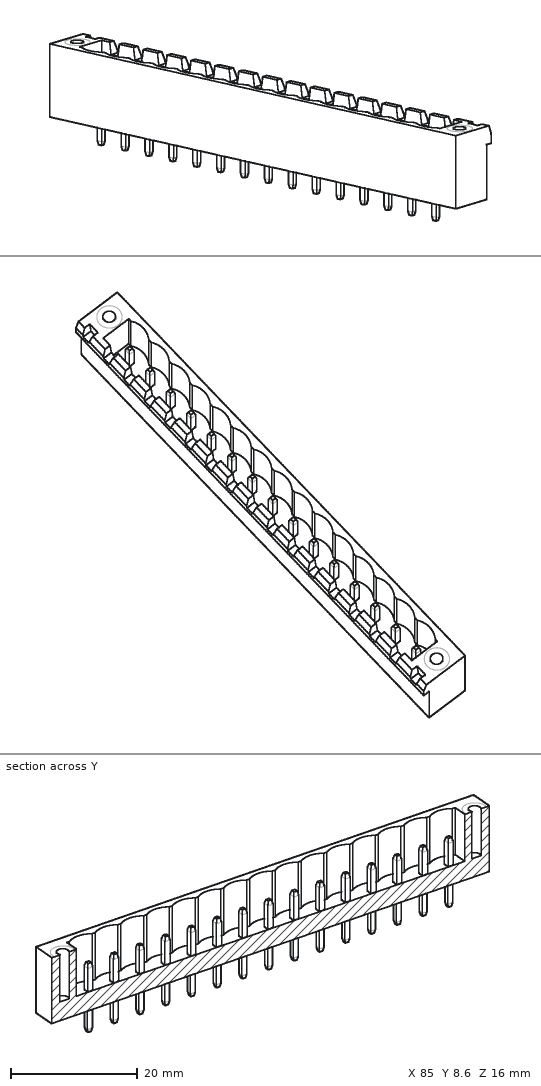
import cadquery as cq

pole_count = 15
pitch = 5.0
pole_positions = [(i - (pole_count - 1) / 2) * pitch for i in range(pole_count)]
end_position = (pole_count + 1) / 2 * pitch

length = (pole_count + 2) * pitch
depth = 7.5
height = 12.0
pin_line = 3.8

lip_overhang = 1.1
lip_height = 3.0
lip_bevel_depth = 0.55
lip_bevel_height = 1.5

cavity_end_x = 37.7
cavity_front_y = 1.7
cavity_rear_y = 7.0
cavity_floor_z = 3.5
scallop_depth = 0.7
scallop_half_width = 2.2

notch_depth = 2.0
notch_floor_width = 1.4
notch_top_width = 2.0

insert_diameter = 4.0
insert_bore = 2.0
insert_depth = 8.5

pin_width = 1.0
contact_thickness = 1.0
tail_thickness = 0.8
pin_taper = 0.7
pin_tip = 0.6
contact_top_z = 8.5
tail_length = 4.0


def make_housing():
    """Side profile with the bevelled rear lip, extruded along X."""
    lip_y = depth + lip_overhang
    profile = [
        (0, 0),
        (depth, 0),
        (depth, height - lip_height),
        (lip_y, height - lip_height),
        (lip_y, height - lip_bevel_height),
        (lip_y - lip_bevel_depth, height),
        (0, height),
    ]
    return cq.Workplane("YZ").polyline(profile).close().extrude(length / 2, both=True)


def make_cavity():
    """Mating cavity, its front wall hollowed by a shallow arc at every pole."""
    outline = (
        cq.Workplane("XY", origin=(0, 0, cavity_floor_z))
        .moveTo(-cavity_end_x, cavity_rear_y)
        .lineTo(-cavity_end_x, cavity_front_y)
    )
    for x in pole_positions:
        outline = outline.lineTo(x - scallop_half_width, cavity_front_y).threePointArc(
            (x, cavity_front_y - scallop_depth),
            (x + scallop_half_width, cavity_front_y),
        )
    outline = outline.lineTo(cavity_end_x, cavity_front_y).lineTo(cavity_end_x, cavity_rear_y)
    return outline.close().extrude(height - cavity_floor_z)


def make_notch(x):
    """Lip notch that widens toward the top, running back from the cavity's rear wall."""
    floor_z = height - notch_depth
    profile = [
        (x - notch_floor_width / 2, floor_z),
        (x + notch_floor_width / 2, floor_z),
        (x + notch_top_width / 2, height),
        (x - notch_top_width / 2, height),
    ]
    run = depth + lip_overhang - cavity_rear_y
    plane = cq.Workplane("XZ", origin=(0, cavity_rear_y, 0))
    return plane.polyline(profile).close().extrude(-run)


def make_pin_end(x, start_z, end_z, thickness):
    """Straight rectangular pin from start_z to end_z with a tapered tip."""
    direction = 1 if end_z > start_z else -1
    shoulder_z = end_z - direction * pin_taper
    shank = (
        cq.Workplane("XY", origin=(x, pin_line, start_z))
        .rect(pin_width, thickness)
        .extrude(shoulder_z - start_z)
    )
    tip = (
        cq.Workplane("XY", origin=(x, pin_line, shoulder_z))
        .rect(pin_width, thickness)
        .workplane(offset=direction * pin_taper)
        .rect(pin_tip, pin_tip)
        .loft()
    )
    return shank.union(tip)


def make_bore(x):
    """Blind bore down the middle of an end block."""
    plane = cq.Workplane("XY", origin=(x, pin_line, height))
    return plane.circle(insert_bore / 2).extrude(-insert_depth)


def make_insert(x):
    """Sleeve around the bore, flush with the top of an end block."""
    plane = cq.Workplane("XY", origin=(x, pin_line, height))
    return plane.circle(insert_diameter / 2).circle(insert_bore / 2).extrude(-insert_depth)


result = make_housing().cut(make_cavity())

for x in [-end_position, *pole_positions, end_position]:
    result = result.cut(make_notch(x))

for x in pole_positions:
    result = result.union(make_pin_end(x, cavity_floor_z, contact_top_z, contact_thickness))
    result = result.union(make_pin_end(x, 0, -tail_length, tail_thickness))

end_blocks = [-end_position, end_position]
for x in end_blocks:
    result = result.cut(make_bore(x))

for x in end_blocks:
    result = result.union(make_insert(x), clean=False)